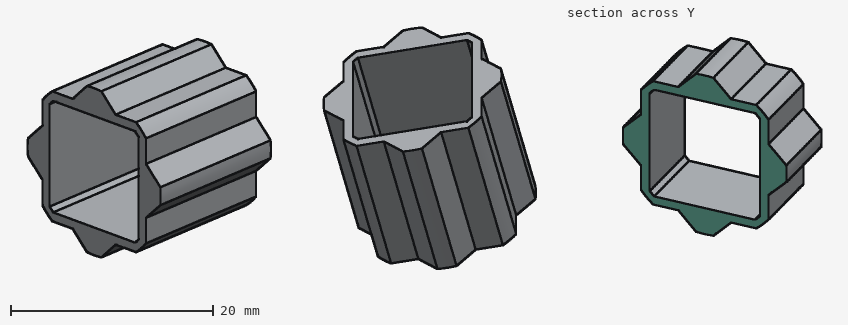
import cadquery as cq
import math

length = 16.0
outer_diameter = 18.0
tube_width = 14.0
bore_width = 12.0
bore_corner_diameter = 16.3
lobe_tip_width = 1.93
lobe_base_width = 5.8
lobe_count = 4

outer_radius = outer_diameter / 2
half_tube = tube_width / 2
half_tip = lobe_tip_width / 2
half_base = lobe_base_width / 2
tip_edge_height = math.sqrt(outer_radius**2 - half_tip**2)


def centred_prism(profile):
    """Extrude an XZ profile along Y, centred on the origin."""
    return profile.extrude(length / 2, both=True)


def make_rounded_square(width, corner_diameter):
    """Square prism whose corners are cut back by a coaxial cylinder."""
    square = centred_prism(cq.Workplane("XZ").rect(width, width))
    cylinder = centred_prism(cq.Workplane("XZ").circle(corner_diameter / 2))
    return square.intersect(cylinder)


def make_lobe():
    """Tapered lobe on the +Z wall, reaching down to the axis so it fuses with the tube."""
    profile = (
        cq.Workplane("XZ")
        .moveTo(-half_base, 0)
        .lineTo(-half_base, half_tube)
        .lineTo(-half_tip, tip_edge_height)
        .threePointArc((0, outer_radius), (half_tip, tip_edge_height))
        .lineTo(half_base, half_tube)
        .lineTo(half_base, 0)
        .close()
    )
    return centred_prism(profile)


body = make_rounded_square(tube_width, outer_diameter)
lobe = make_lobe()
for index in range(lobe_count):
    angle = index * 360 / lobe_count
    body = body.union(lobe.rotate((0, 0, 0), (0, 1, 0), angle))

bore = make_rounded_square(bore_width, bore_corner_diameter)
result = body.cut(bore)